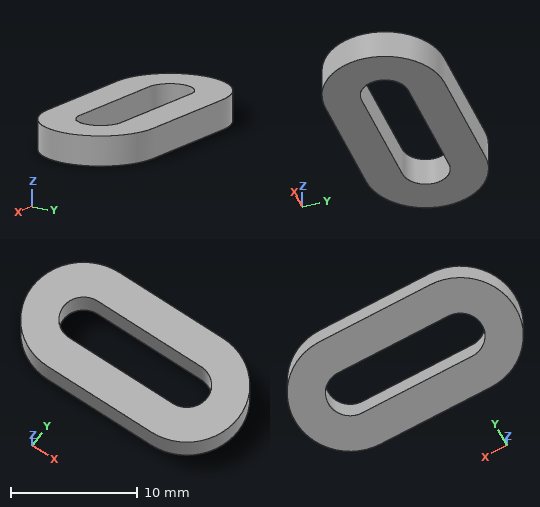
import cadquery as cq

length = 20.0
width = 10.0
thickness = 2.5
slot_width = 3.9

centre_distance = length - width
slot_length = centre_distance + slot_width

body = cq.Workplane("XY").slot2D(length, width).extrude(thickness)
slot = cq.Workplane("XY").slot2D(slot_length, slot_width).extrude(thickness)

result = body.cut(slot)